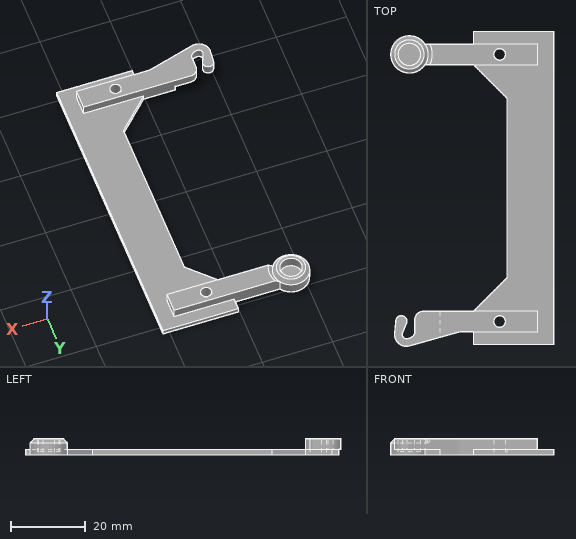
import cadquery as cq
import math

total_width = 43.65
total_height = 4.4

plate_length = 83.8
plate_thickness = 1.5
end_width = 21.5
middle_width = 12.55
notch_inset = 8.9

arm_width = 5.6
arm_end_x = -4.4
arm_margin = 3.4
hole_x = -14.5
hole_diameter = 3.0
hook_arm_y = arm_margin + arm_width / 2
ring_arm_y = plate_length - hook_arm_y

ring_diameter = 10.0
ring_x = -total_width + ring_diameter / 2
ring_chamfer = 1.1
pocket_diameter = 6.0
pocket_floor = 1.0

tip_x, tip_y, tip_radius = -40.8, 6.2, 1.5
bowl_x, bowl_y, bowl_radius = -39.4, 2.7, 3.2
slot_radius = 1.1
slot_exit_radius = 2.5
shoulder_x = -37.25
shoulder_radius = 2.4
slope_angle = 15.7
bend_radius = 4.5
hook_step_x = -30.5
relief_size = 16.85


def point_on_circle(x, y, radius, degrees):
    angle = math.radians(degrees)
    return (x + radius * math.cos(angle), y + radius * math.sin(angle))


def make_plate():
    flank_run = end_width - middle_width
    outline = [
        (0, 0),
        (0, plate_length),
        (-end_width, plate_length),
        (-end_width, plate_length - notch_inset),
        (-middle_width, plate_length - notch_inset - flank_run),
        (-middle_width, notch_inset + flank_run),
        (-end_width, notch_inset),
        (-end_width, 0),
    ]
    return cq.Workplane("XY").polyline(outline).close().extrude(plate_thickness)


def make_ring_arm():
    length = arm_end_x - ring_x
    arm = (
        cq.Workplane("XY")
        .box(length, arm_width, total_height, centered=(False, True, False))
        .translate((ring_x, ring_arm_y, 0))
    )
    shoulder_height = total_height - ring_chamfer
    ring_radius = ring_diameter / 2
    clearance = (
        cq.Workplane("XZ")
        .moveTo(0, shoulder_height)
        .lineTo(ring_radius, shoulder_height)
        .lineTo(ring_radius + ring_chamfer, total_height)
        .lineTo(0, total_height)
        .close()
        .revolve(360, (0, 0), (0, 1))
        .translate((ring_x, ring_arm_y, 0))
    )
    ring = (
        cq.Workplane("XY")
        .center(ring_x, ring_arm_y)
        .circle(ring_radius)
        .extrude(total_height)
        .faces(">Z")
        .chamfer(ring_chamfer)
    )
    pocket = (
        cq.Workplane("XY", origin=(ring_x, ring_arm_y, pocket_floor))
        .circle(pocket_diameter / 2)
        .extrude(total_height - pocket_floor)
    )
    return arm.cut(clearance).union(ring).cut(pocket)


def make_hook_arm():
    low_y = hook_arm_y - arm_width / 2
    high_y = hook_arm_y + arm_width / 2

    flank_start = point_on_circle(bowl_x, bowl_y, bowl_radius, slope_angle - 90)
    slope = math.radians(slope_angle)
    corner_x = flank_start[0] + (low_y - flank_start[1]) / math.tan(slope)
    bend_setback = bend_radius * math.tan(slope / 2)
    bend_start = (
        corner_x - bend_setback * math.cos(slope),
        low_y - bend_setback * math.sin(slope),
    )

    spacing = math.hypot(bowl_x - tip_x, bowl_y - tip_y)
    axis_angle = math.degrees(math.atan2(bowl_y - tip_y, bowl_x - tip_x))
    outer_angle = axis_angle - math.degrees(math.acos((tip_radius - bowl_radius) / spacing))
    inner_angle = axis_angle + math.degrees(math.acos((tip_radius + slot_radius) / spacing))
    outer_mid_angle = (outer_angle + slope_angle - 90) / 2
    slot_start_angle = inner_angle + 180

    slot_low = (bowl_x, bowl_y - slot_radius)
    exit_y = slot_low[1] + slot_exit_radius
    exit_angle = -math.degrees(math.acos((shoulder_x - bowl_x) / slot_exit_radius))
    exit_mid_angle = (exit_angle - 90) / 2

    outline = (
        cq.Workplane("XY")
        .moveTo(arm_end_x, high_y)
        .lineTo(arm_end_x, low_y)
        .lineTo(corner_x + bend_setback, low_y)
        .radiusArc(bend_start, -bend_radius)
        .lineTo(*flank_start)
        .threePointArc(
            point_on_circle(bowl_x, bowl_y, bowl_radius, outer_mid_angle),
            point_on_circle(bowl_x, bowl_y, bowl_radius, outer_angle),
        )
        .lineTo(*point_on_circle(tip_x, tip_y, tip_radius, outer_angle))
        .threePointArc(
            point_on_circle(tip_x, tip_y, tip_radius, 90),
            point_on_circle(tip_x, tip_y, tip_radius, inner_angle),
        )
        .lineTo(*point_on_circle(bowl_x, bowl_y, slot_radius, slot_start_angle))
        .threePointArc(
            point_on_circle(bowl_x, bowl_y, slot_radius, (slot_start_angle + 270) / 2),
            slot_low,
        )
        .threePointArc(
            point_on_circle(bowl_x, exit_y, slot_exit_radius, exit_mid_angle),
            point_on_circle(bowl_x, exit_y, slot_exit_radius, exit_angle),
        )
        .lineTo(shoulder_x, high_y - shoulder_radius)
        .radiusArc((shoulder_x + shoulder_radius, high_y), shoulder_radius)
        .close()
    )
    return outline.extrude(total_height)


plate = make_plate()
hook_relief = (
    cq.Workplane("XY")
    .box(relief_size, relief_size, plate_thickness, centered=(False, True, False))
    .translate((hook_step_x - relief_size, hook_arm_y, 0))
)
holes = (
    cq.Workplane("XY")
    .pushPoints([(hole_x, hook_arm_y), (hole_x, ring_arm_y)])
    .circle(hole_diameter / 2)
    .extrude(total_height)
)
result = plate.union(make_ring_arm()).union(make_hook_arm().cut(hook_relief)).cut(holes)